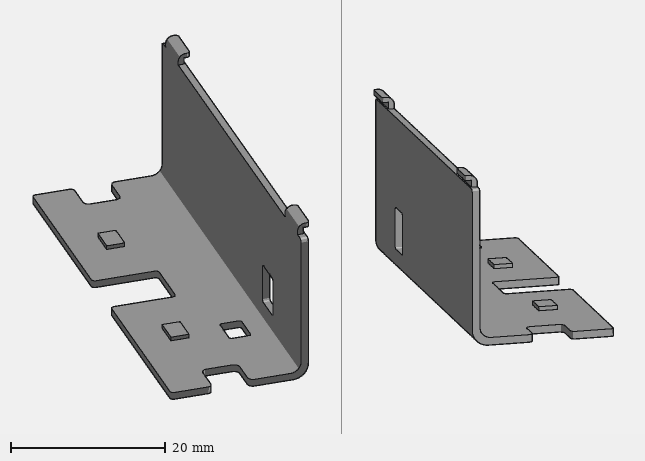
import cadquery as cq
import math


length = 53.8
total_height = 22.4
thickness = 1.0
bend_inner_radius = 1.45
bend_outer_radius = 2.1
flange_tilt = 1.0
corner_radius = 0.5

tangent_ratio = math.tan(math.radians((90 + flange_tilt) / 2))
bend_lift = bend_outer_radius * (tangent_ratio - 1)
hook_top = total_height + bend_lift
bend_leg = 2.7

wall_top = 20.9

flange_front = -18.95
flange_depth = -flange_front - bend_leg

notch_width = 7.0
notch_depth = 9.05

end_notch_depth = 4.4
end_notch_width = 5.05
end_notch_y = -10.7
end_notch_radius = 0.75
end_notch_lip_radius = 0.6

window_x = 14.0
window_width = 4.0
window_radius = 0.3
wall_window_height = 5.55
wall_window_z = 6.15
flange_window_depth = 2.95
flange_window_y = -5.5

hook_width = 4.9
hook_x = 23.1
hook_reach = 0.65
hook_neck = 0.8
hook_lip = 0.65
hook_outer_radius = thickness

pad_width = 3.45
pad_depth = 2.5
pad_height = 0.55
pad_x = 12.45
pad_y = -13.2


def box(width, depth, height, x, y, z):
    """Box centred on x and y, standing on z."""
    return cq.Workplane("XY").box(width, depth, height, centered=(True, True, False)).translate((x, y, z))


def tilted(flat_shape):
    """Swing a shape from the flat flange about the sharp corner into the tilted flange."""
    return flat_shape.rotate((0, 0, 0), (1, 0, 0), -flange_tilt)


def tilted_point(y, z):
    """Y and Z of a point of the flat flange after tilting."""
    sine = math.sin(math.radians(flange_tilt))
    cosine = math.cos(math.radians(flange_tilt))
    return (y * cosine + z * sine, z * cosine - y * sine)


def make_wall():
    wall = box(length, thickness, wall_top - bend_leg, 0, -thickness / 2, bend_leg)
    wall = wall.edges("|Y and >Z").fillet(corner_radius)
    window = box(window_width, 3 * thickness, wall_window_height,
                 window_x, -thickness / 2, wall_window_z - wall_window_height / 2)
    return wall.cut(window.edges("|Y").fillet(window_radius))


def make_bend():
    """Quarter turn, plus the tilt, from the foot of the wall to the flange."""
    inner_corner = tilted_point(-thickness * tangent_ratio, thickness)
    bend = (
        cq.Workplane("YZ")
        .moveTo(0, bend_leg)
        .lineTo(0, 0)
        .lineTo(*tilted_point(-bend_leg, 0))
        .lineTo(*tilted_point(-bend_leg, thickness))
        .lineTo(*inner_corner)
        .lineTo(-thickness, bend_leg)
        .close()
        .extrude(length / 2, both=True)
    )
    bend = bend.edges(cq.selectors.NearestToPointSelector((0, 0, 0))).fillet(bend_outer_radius)
    return bend.edges(cq.selectors.NearestToPointSelector((0, *inner_corner))).fillet(bend_inner_radius)


def make_flange():
    half_length = length / 2
    half_notch = notch_width / 2
    notch_back = flange_front + notch_depth
    flange = box(length, flange_depth, thickness, 0, flange_front + flange_depth / 2, 0)
    flange = flange.cut(box(notch_width, notch_depth, thickness, 0, notch_back - notch_depth / 2, 0))
    for side in (-1, 1):
        end_notch_x = side * (half_length - end_notch_depth / 2)
        flange = flange.cut(box(end_notch_depth, end_notch_width, thickness, end_notch_x, end_notch_y, 0))

    notch_front = end_notch_y - end_notch_width / 2
    notch_rear = end_notch_y + end_notch_width / 2
    notch_bottom = half_length - end_notch_depth
    corners = [
        (half_length, flange_front, corner_radius),
        (half_notch, flange_front, corner_radius),
        (half_notch, notch_back, corner_radius),
        (half_length, notch_front, end_notch_lip_radius),
        (half_length, notch_rear, end_notch_radius),
        (notch_bottom, notch_front, end_notch_radius),
        (notch_bottom, notch_rear, end_notch_radius),
    ]
    for x, y, radius in corners:
        for side in (-1, 1):
            corner = cq.selectors.NearestToPointSelector((side * x, y, thickness / 2))
            flange = flange.edges("|Z").edges(corner).fillet(radius)

    window = box(window_width, flange_window_depth, thickness, window_x, flange_window_y, 0)
    return tilted(flange.cut(window.edges("|Z").fillet(window_radius)))


def make_hook(x):
    """Tab rising flush with the front of the wall and curling back over its top edge."""
    arc_mid = hook_outer_radius * (1 - math.sqrt(0.5))
    neck_back = hook_neck - thickness
    hook = (
        cq.Workplane("YZ", origin=(x, 0, 0))
        .moveTo(-thickness, wall_top)
        .lineTo(-thickness, hook_top - hook_outer_radius)
        .threePointArc((arc_mid - thickness, hook_top - arc_mid),
                       (hook_outer_radius - thickness, hook_top))
        .lineTo(hook_reach, hook_top)
        .lineTo(hook_reach, hook_top - hook_lip)
        .lineTo(neck_back, hook_top - hook_lip)
        .lineTo(neck_back, wall_top)
        .close()
        .extrude(hook_width / 2, both=True)
    )
    return hook.edges("|Z and >Y").fillet(corner_radius)


def make_bracket():
    bracket = make_wall().union(make_bend()).union(make_flange())
    for side in (-1, 1):
        bracket = bracket.union(make_hook(side * hook_x))
    return bracket


def make_pad(x):
    return tilted(box(pad_width, pad_depth, pad_height, x, pad_y, thickness))


bracket = make_bracket()
pads = [make_pad(side * pad_x) for side in (-1, 1)]

result = cq.Compound.makeCompound([bracket.val(), *[pad.val() for pad in pads]])